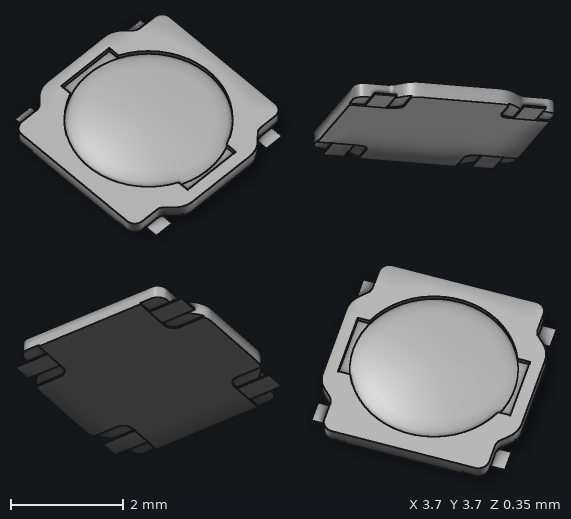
import cadquery as cq
import math

OVERALL = 3.7
HOUSING_HEIGHT = 0.29
NECK_WIDTH = 3.067
CORNER_RADIUS = 0.2
SHOULDER_RADIUS = 0.45
SHOULDER_ANGLE = 45.0
SHOULDER_END_Y = 0.71

TOTAL_HEIGHT = 0.35
DOME_RADIUS = 1.5
CAVITY_DEPTH = 0.09
CAVITY_FLOOR = HOUSING_HEIGHT - CAVITY_DEPTH
SLOT_LENGTH = 3.208
SLOT_WIDTH = 1.195

TERMINAL_THICKNESS = 0.03
TERMINAL_OUTER_X = 1.802
TERMINAL_INNER_X = 1.1
TERMINAL_CENTER_Y = 1.373
TERMINAL_WIDTH = 0.4
RECESS_INNER_Y = 0.895

CORNERS = [(sx, sy) for sx in (-1, 1) for sy in (-1, 1)]


def housing_outline():
    """Plate outline: a wide middle joined to two narrower ends by sloped shoulders.

    Returns the corner points and the Y of the shoulder and neck corners.
    """
    half = OVERALL / 2
    neck_x = NECK_WIDTH / 2
    slope = math.radians(SHOULDER_ANGLE)
    shoulder_y = SHOULDER_END_Y + SHOULDER_RADIUS * math.tan(slope / 2)
    neck_y = shoulder_y + (half - neck_x) / math.tan(slope)
    quarter = [(half, shoulder_y), (neck_x, neck_y), (neck_x, half)]
    mirrored_x = [(-x, y) for x, y in reversed(quarter)]
    upper = quarter + mirrored_x
    lower = [(-x, -y) for x, y in upper]
    return upper + lower, shoulder_y, neck_y


def round_edges(body, x, y, radius):
    """Round the vertical edges at the four mirrored places (+-x, +-y)."""
    reach = 0.005
    for sx, sy in CORNERS:
        picker = cq.selectors.BoxSelector(
            (sx * x - reach, sy * y - reach, -reach),
            (sx * x + reach, sy * y + reach, HOUSING_HEIGHT + reach),
        )
        body = body.edges(picker).fillet(radius)
    return body


def make_plate():
    points, shoulder_y, neck_y = housing_outline()
    plate = cq.Workplane("XY").polyline(points).close().extrude(HOUSING_HEIGHT)
    plate = round_edges(plate, OVERALL / 2, shoulder_y, SHOULDER_RADIUS)
    plate = round_edges(plate, NECK_WIDTH / 2, neck_y, CORNER_RADIUS)
    return round_edges(plate, NECK_WIDTH / 2, OVERALL / 2, CORNER_RADIUS)


def make_cavity():
    """Round cavity with a straight slot across it, open at the top."""
    floor = cq.Workplane("XY").workplane(offset=CAVITY_FLOOR)
    slot = floor.rect(SLOT_LENGTH, SLOT_WIDTH).extrude(CAVITY_DEPTH)
    return floor.circle(DOME_RADIUS).extrude(CAVITY_DEPTH).union(slot)


def make_recess(sx, sy):
    """Shallow underside recess at one corner, open to the outside, with a rounded inner corner."""
    half = OVERALL / 2
    length = half - TERMINAL_INNER_X
    width = half - RECESS_INNER_Y
    recess = cq.Workplane("XY").box(length, width, TERMINAL_THICKNESS, centered=False)
    recess = recess.translate((TERMINAL_INNER_X, RECESS_INNER_Y, 0))
    recess = recess.faces("<X").edges("<Y").fillet(CORNER_RADIUS)
    if sx < 0:
        recess = recess.mirror("YZ")
    if sy < 0:
        recess = recess.mirror("XZ")
    return recess


def make_housing():
    body = make_plate().cut(make_cavity())
    for sx, sy in CORNERS:
        body = body.cut(make_recess(sx, sy))
    return body


def make_dome():
    """Spherical cap that rests on the cavity floor."""
    rise = TOTAL_HEIGHT - CAVITY_FLOOR
    sphere_radius = (DOME_RADIUS**2 + rise**2) / (2 * rise)
    half_angle = math.asin(DOME_RADIUS / sphere_radius) / 2
    arc_middle = (
        sphere_radius * math.sin(half_angle),
        TOTAL_HEIGHT - sphere_radius * (1 - math.cos(half_angle)),
    )
    return (
        cq.Workplane("XZ")
        .moveTo(0, CAVITY_FLOOR)
        .lineTo(DOME_RADIUS, CAVITY_FLOOR)
        .threePointArc(arc_middle, (0, TOTAL_HEIGHT))
        .close()
        .revolve(360, (0, 0), (0, 1))
    )


def make_terminal(sx, sy):
    """Thin flat strip that lies in a recess and sticks out past the neck."""
    length = TERMINAL_OUTER_X - TERMINAL_INNER_X
    center_x = (TERMINAL_OUTER_X + TERMINAL_INNER_X) / 2
    strip = cq.Workplane("XY").box(length, TERMINAL_WIDTH, TERMINAL_THICKNESS, centered=(True, True, False))
    return strip.translate((sx * center_x, sy * TERMINAL_CENTER_Y, 0))


housing = make_housing()
dome = make_dome()
terminals = [make_terminal(sx, sy) for sx, sy in CORNERS]

result = cq.Compound.makeCompound(
    [housing.val(), dome.val(), *[terminal.val() for terminal in terminals]]
)